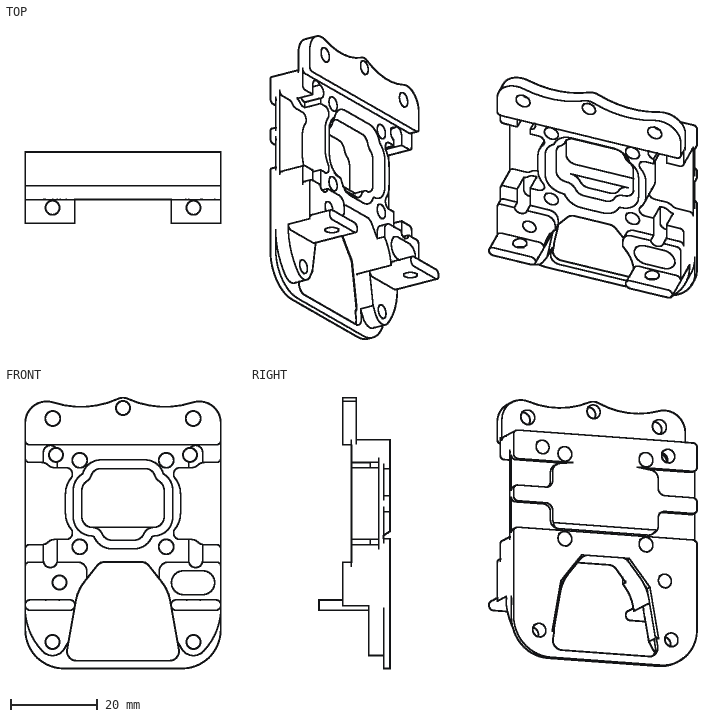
import cadquery as cq
import math


HALF_WIDTH = 45.26 / 2
TOP_Z = 24.5
BOTTOM_Z = TOP_Z - 62.67
EDGE_RADIUS = 1.0

PLATE_DEPTH = 1.5
SIDE_POCKET_FLOOR = 2.65
NUT_SLOT_FLOOR = 4.65
FOOT_DEPTH = 5.0
FLANGE_BACK = 7.8
BODY_DEPTH = 9.0
PAD_DEPTH = 11.0
EAR_DEPTH = 16.5

PLATE_CORNER_RADIUS = 9.0
BODY_TOP_Z = 14.8

FLANGE_BOTTOM_Z = 13.6
FLANGE_CORNER_RADIUS = 5.0
FLANGE_CORNER_Z = 18.65
FLANGE_CORNER_END_ANGLE = math.radians(18)
FLANGE_CREST_HALF_WIDTH = 1.14
FLANGE_CREST_DROP = 0.25

PAD_TOP_Z = -13.52
PAD_INNER_X = 8.35
PAD_CORNER_RADIUS = 2.2
PAD_BOTTOM_Z = -23.57
EAR_INNER_X = 11.1
EAR_TOP_Z = -22.27
EAR_HEIGHT = 2.4
EAR_HOLE_X = 16.3
EAR_HOLE_DEPTH = 12.9

FOOT_HOLE_X = 16.3
FOOT_HOLE_Z = -32.0
FOOT_TIP_RADIUS = 3.15
FOOT_SIDE_RADIUS = 14.4
FOOT_INNER_LEAN = math.radians(30)

OPENING_CORNERS = [
    (5.3, -13.53, 2.2),
    (10.44, -20.0, 10.0),
    (13.35, -36.3, 2.15),
]
OPENING_BEVEL = 0.55

SIDE_POCKET_EDGE_Z = 9.5
SIDE_POCKET_STEP_Z = 8.3
SIDE_POCKET_STEP_OUTER_X = 18.0
SIDE_POCKET_STEP_INNER_X = 16.6
SIDE_POCKET_STEP_RADIUS = 2.0
SIDE_POCKET_CORNER_X = 10.15
SIDE_POCKET_CORNER_RADIUS = 1.5
SIDE_POCKET_WAIST_X = 13.3
SIDE_POCKET_WAIST_Z = 4.2
SIDE_POCKET_WAIST_RADIUS = 5.5

NUT_SLOT_X = 16.8
NUT_SLOT_WIDTH = 3.2
NUT_SLOT_UPPER_Z = 11.85
NUT_SLOT_LOWER_Z = -13.2

WINDOW_RIM = 2.0
WINDOW_CORNER_RADIUS = 2.4
WINDOW_BLEND_RADIUS = 2.5
WINDOW_FLOOR = 0.5
WINDOW_LEDGE_FLOOR = 4.0
WINDOW_WIDE_X = 9.5
WINDOW_WIDE_Z = 5.5
WINDOW_UPPER_X = 7.5
WINDOW_UPPER_Z = 8.1
WINDOW_LOWER_X = 5.0

RECESS_HALF_HEIGHT = 8.1
RECESS_TAB_HALF_HEIGHT = 1.85
ISLAND_X = 13.0
ISLAND_BOTTOM_Z = -7.4
ISLAND_FOOT_RADIUS = 1.75
ISLAND_CORNER_RADIUS = 1.9
ISLAND_SHOULDER_RUN = 5.0
ISLAND_SHOULDER_Z = 7.4
ISLAND_CHAMFER = 1.0

SMALL_HOLE = 3.2
LARGE_HOLE = 3.4
WINDOW_SCREW = 10.0
FLANGE_HOLE_X = 16.24
FLANGE_HOLE_Z = 19.67
CREST_HOLE_Z = 22.1
BODY_HOLE_X = 15.5
BODY_HOLE_Z = 11.25
PAD_HOLE_X = 14.68
PAD_HOLE_Z = -18.25

BLIND_SLOT_X = 16.2
BLIND_SLOT_Z = -18.3
BLIND_SLOT_LENGTH = 10.0
BLIND_SLOT_HEIGHT = 5.5
BLIND_SLOT_FLOOR = PLATE_DEPTH

MIN_LENGTH = 1e-6
OUTSIDE = 2.0


def at_depth(depth):
    return cq.Workplane("XZ", origin=(0, -depth, 0))


def arc_loop(plane, arcs):
    """Closed outline of (start, middle, end) arcs joined by lines; empty pieces are left out."""
    last = arcs[0][2]
    wire = plane.moveTo(last.x, last.y)
    for start, middle, end in arcs[1:] + arcs[:1]:
        if (start - last).Length > MIN_LENGTH:
            wire = wire.lineTo(start.x, start.y)
        if (end - start).Length > MIN_LENGTH:
            wire = wire.threePointArc((middle.x, middle.y), (end.x, end.y))
        last = end
    return wire.close()


def rounded_wire(plane, corners):
    """Closed outline through (x, z, radius) corners; radius 0 is sharp."""
    arcs = []
    count = len(corners)
    for i in range(count):
        x, z, radius = corners[i]
        corner = cq.Vector(x, z, 0)
        before = cq.Vector(*corners[i - 1][:2], 0) - corner
        after = cq.Vector(*corners[(i + 1) % count][:2], 0) - corner
        half_angle = before.getAngle(after) / 2
        reach = radius / math.tan(half_angle)
        bisector = (before.normalized() + after.normalized()).normalized()
        middle = corner + bisector * (radius / math.sin(half_angle) - radius)
        start = corner + before.normalized() * reach
        end = corner + after.normalized() * reach
        arcs.append((start, middle, end))
    return arc_loop(plane, arcs)


def prism(corners, near, far):
    return rounded_wire(at_depth(near), corners).extrude(far - near)


def box_corners(x_min, x_max, z_min, z_max, lower_radius=0, upper_radius=0):
    return [
        (x_min, z_min, lower_radius),
        (x_max, z_min, lower_radius),
        (x_max, z_max, upper_radius),
        (x_min, z_max, upper_radius),
    ]


def both_sides(shape):
    return shape.union(shape.mirror("YZ"))


def base_plate():
    corners = box_corners(-HALF_WIDTH, HALF_WIDTH, BOTTOM_Z, 0, PLATE_CORNER_RADIUS)
    return prism(corners, 0, PLATE_DEPTH)


def body():
    """The top corners are rounded behind the flange and square where they meet it."""
    rounded = box_corners(-HALF_WIDTH, HALF_WIDTH, PAD_BOTTOM_Z, BODY_TOP_Z, 0, EDGE_RADIUS)
    square = box_corners(-HALF_WIDTH, HALF_WIDTH, PAD_BOTTOM_Z, BODY_TOP_Z)
    return prism(rounded, 0, FLANGE_BACK).union(prism(square, FLANGE_BACK, BODY_DEPTH))


def flange():
    """Round corners, dips and the crest follow each other tangentially."""
    corner_x = HALF_WIDTH - FLANGE_CORNER_RADIUS

    def corner_point(angle):
        x = corner_x + FLANGE_CORNER_RADIUS * math.sin(angle)
        return x, FLANGE_CORNER_Z + FLANGE_CORNER_RADIUS * math.cos(angle)

    half = (
        at_depth(FLANGE_BACK)
        .moveTo(0, FLANGE_BOTTOM_Z)
        .lineTo(HALF_WIDTH, FLANGE_BOTTOM_Z)
        .lineTo(HALF_WIDTH, FLANGE_CORNER_Z)
        .threePointArc(corner_point(math.pi / 4), corner_point(-FLANGE_CORNER_END_ANGLE))
        .tangentArcPoint((FLANGE_CREST_HALF_WIDTH, TOP_Z - FLANGE_CREST_DROP), relative=False)
        .tangentArcPoint((0, TOP_Z), relative=False)
        .close()
        .extrude(PAD_DEPTH - FLANGE_BACK)
    )
    return both_sides(half).edges("|Y and <Z").edges("<X or >X").fillet(EDGE_RADIUS)


def pads():
    corners = [
        (HALF_WIDTH, PAD_BOTTOM_Z, 0),
        (HALF_WIDTH, PAD_TOP_Z, EDGE_RADIUS),
        (PAD_INNER_X, PAD_TOP_Z, PAD_CORNER_RADIUS),
        (PAD_INNER_X, PAD_BOTTOM_Z, 0),
    ]
    return both_sides(prism(corners, BODY_DEPTH, PAD_DEPTH))


def ears():
    corners = box_corners(
        EAR_INNER_X, HALF_WIDTH, EAR_TOP_Z - EAR_HEIGHT, EAR_TOP_Z, EAR_HEIGHT / 2, EAR_HEIGHT / 2
    )
    hole = (
        cq.Workplane("XY", origin=(EAR_HOLE_X, -EAR_HOLE_DEPTH, EAR_TOP_Z))
        .circle(SMALL_HOLE / 2)
        .extrude(-EAR_HEIGHT)
    )
    return both_sides(prism(corners, FOOT_DEPTH, EAR_DEPTH).cut(hole))


def feet():
    """Tongues whose outer side is an arc tangent to the wall and to the round tip."""
    side_x = HALF_WIDTH - FOOT_SIDE_RADIUS
    reach_x = FOOT_HOLE_X - side_x
    rise = math.sqrt((FOOT_SIDE_RADIUS - FOOT_TIP_RADIUS) ** 2 - reach_x ** 2)
    side_z = FOOT_HOLE_Z + rise
    tangent_angle = math.atan2(-rise, reach_x)

    def side_point(angle):
        x = side_x + FOOT_SIDE_RADIUS * math.cos(angle)
        return x, side_z + FOOT_SIDE_RADIUS * math.sin(angle)

    tip_end_x = FOOT_HOLE_X - FOOT_TIP_RADIUS * math.cos(FOOT_INNER_LEAN)
    tip_end_z = FOOT_HOLE_Z - FOOT_TIP_RADIUS * math.sin(FOOT_INNER_LEAN)
    inner_z = tip_end_z + (tip_end_x - EAR_INNER_X) / math.tan(FOOT_INNER_LEAN)
    tongue = (
        at_depth(0)
        .moveTo(EAR_INNER_X, PAD_BOTTOM_Z)
        .lineTo(HALF_WIDTH, PAD_BOTTOM_Z)
        .lineTo(HALF_WIDTH, side_z)
        .threePointArc(side_point(tangent_angle / 2), side_point(tangent_angle))
        .threePointArc((FOOT_HOLE_X, FOOT_HOLE_Z - FOOT_TIP_RADIUS), (tip_end_x, tip_end_z))
        .lineTo(EAR_INNER_X, inner_z)
        .close()
        .extrude(FOOT_DEPTH)
    )
    return both_sides(tongue)


def lower_opening():
    left = [(-x, z, radius) for x, z, radius in reversed(OPENING_CORNERS)]
    return prism(OPENING_CORNERS + left, -OUTSIDE, EAR_DEPTH)


def opening_bevel():
    """45 degree bevel along the sloped rear edges of the opening, down to the foot tips."""
    (top_x, top_z, _), (bend_x, bend_z, _), (low_x, low_z, _) = OPENING_CORNERS
    end_x = bend_x + (low_x - bend_x) * (FOOT_HOLE_Z - bend_z) / (low_z - bend_z)
    right = [(top_x, top_z), (bend_x, bend_z), (end_x, FOOT_HOLE_Z)]
    wider = [(x + OPENING_BEVEL, z) for x, z in right]
    left = [(-x, z) for x, z in reversed(wider)]
    return at_depth(0).polyline(wider + left).close().extrude(OPENING_BEVEL, taper=45)


def side_pockets():
    upper = [
        (HALF_WIDTH + OUTSIDE, SIDE_POCKET_EDGE_Z + EDGE_RADIUS, 0),
        (HALF_WIDTH, SIDE_POCKET_EDGE_Z + EDGE_RADIUS, 0),
        (HALF_WIDTH, SIDE_POCKET_EDGE_Z, EDGE_RADIUS),
        (SIDE_POCKET_STEP_OUTER_X, SIDE_POCKET_EDGE_Z, SIDE_POCKET_STEP_RADIUS),
        (SIDE_POCKET_STEP_INNER_X, SIDE_POCKET_STEP_Z, SIDE_POCKET_STEP_RADIUS),
        (SIDE_POCKET_CORNER_X, SIDE_POCKET_STEP_Z, SIDE_POCKET_CORNER_RADIUS),
        (SIDE_POCKET_WAIST_X, SIDE_POCKET_WAIST_Z, SIDE_POCKET_WAIST_RADIUS),
    ]
    lower = [(x, -z, radius) for x, z, radius in reversed(upper)]
    return both_sides(prism(upper + lower, SIDE_POCKET_FLOOR, BODY_DEPTH))


def nut_slots():
    length = NUT_SLOT_UPPER_Z - NUT_SLOT_LOWER_Z + NUT_SLOT_WIDTH
    middle_z = (NUT_SLOT_UPPER_Z + NUT_SLOT_LOWER_Z) / 2
    slot = (
        at_depth(NUT_SLOT_FLOOR)
        .center(NUT_SLOT_X, middle_z)
        .slot2D(length, NUT_SLOT_WIDTH, 90)
        .extrude(PAD_DEPTH - NUT_SLOT_FLOOR)
    )
    return both_sides(slot)


def window_outline(depth):
    """Rounded lobes joined by blends that bulge inward.

    Every lobe corner and every blend is an arc, and neighbours are tangent.
    The height of the lower lobe follows from tangency with its blend.
    """
    corner = WINDOW_CORNER_RADIUS
    blend = WINDOW_BLEND_RADIUS
    touching = corner + blend
    upper = cq.Vector(WINDOW_UPPER_X - corner, WINDOW_UPPER_Z - corner)
    wide = cq.Vector(WINDOW_WIDE_X - corner, WINDOW_WIDE_Z - corner)
    across = wide - upper
    outward = cq.Vector(-across.y, across.x).normalized()
    upper_blend = (upper + wide) * 0.5 + outward * math.sqrt(touching ** 2 - (across.Length / 2) ** 2)
    lower_blend = cq.Vector(wide.x, -WINDOW_WIDE_Z - blend)
    lower_x = WINDOW_LOWER_X - corner
    rise = math.sqrt(touching ** 2 - (lower_blend.x - lower_x) ** 2)
    lower = cq.Vector(lower_x, lower_blend.y + rise)

    up = cq.Vector(0, 1)
    right = cq.Vector(1, 0)
    to_upper = (upper - upper_blend).normalized()
    to_wide = (wide - upper_blend).normalized()
    to_lower = (lower - lower_blend).normalized()
    arcs = [
        (upper, corner, up, -to_upper),
        (upper_blend, blend, to_upper, to_wide),
        (wide, corner, -to_wide, right),
        (cq.Vector(wide.x, -wide.y), corner, right, -up),
        (lower_blend, blend, up, to_lower),
        (lower, corner, -to_lower, -up),
    ]
    points = []
    for center, radius, first, last in arcs:
        middle = (first + last).normalized()
        points.append([center + direction * radius for direction in (first, middle, last)])
    left = [[cq.Vector(-p.x, p.y) for p in reversed(arc)] for arc in reversed(points)]

    return arc_loop(at_depth(depth), points + left)


def window():
    rim_depth = BODY_DEPTH - WINDOW_RIM
    deep = window_outline(WINDOW_FLOOR).extrude(WINDOW_LEDGE_FLOOR - WINDOW_FLOOR)
    above_ledge = box_corners(-WINDOW_WIDE_X, WINDOW_WIDE_X, -WINDOW_WIDE_Z, WINDOW_UPPER_Z)
    deep = deep.intersect(prism(above_ledge, WINDOW_FLOOR, WINDOW_LEDGE_FLOOR))
    wall = window_outline(WINDOW_LEDGE_FLOOR).extrude(rim_depth - WINDOW_LEDGE_FLOOR)
    rim = window_outline(rim_depth).extrude(WINDOW_RIM, taper=-45)
    return wall.union(deep).union(rim)


def back_recess():
    """Shallow notches beside the island, joined by a channel below it."""
    edge = HALF_WIDTH
    out = HALF_WIDTH + OUTSIDE
    top = RECESS_HALF_HEIGHT
    tab = RECESS_TAB_HALF_HEIGHT
    upper = [
        (out, top + EDGE_RADIUS, 0),
        (edge, top + EDGE_RADIUS, 0),
        (edge, top, EDGE_RADIUS),
        (ISLAND_X - ISLAND_SHOULDER_RUN, top, 0),
        (ISLAND_X, ISLAND_SHOULDER_Z, ISLAND_CORNER_RADIUS),
        (ISLAND_X, tab, ISLAND_FOOT_RADIUS),
        (edge, tab, EDGE_RADIUS),
        (edge, tab - EDGE_RADIUS, 0),
        (out, tab - EDGE_RADIUS, 0),
    ]
    lower = [
        (out, -top - EDGE_RADIUS, 0),
        (edge, -top - EDGE_RADIUS, 0),
        (edge, -top, EDGE_RADIUS),
        (0, -top, 0),
        (0, ISLAND_BOTTOM_Z, 0),
        (ISLAND_X, ISLAND_BOTTOM_Z, ISLAND_CORNER_RADIUS),
        (ISLAND_X, -tab, ISLAND_FOOT_RADIUS),
        (edge, -tab, EDGE_RADIUS),
        (edge, EDGE_RADIUS - tab, 0),
        (out, EDGE_RADIUS - tab, 0),
    ]
    bevel = (
        cq.Workplane("YZ")
        .moveTo(0, ISLAND_BOTTOM_Z + ISLAND_CHAMFER)
        .lineTo(-PLATE_DEPTH, ISLAND_BOTTOM_Z)
        .lineTo(0, ISLAND_BOTTOM_Z)
        .close()
        .extrude(ISLAND_X)
    )
    half = prism(upper, 0, PLATE_DEPTH).union(prism(lower, 0, PLATE_DEPTH)).union(bevel)
    return both_sides(half)


def holes(points, diameter):
    return (
        at_depth(0)
        .pushPoints(points)
        .circle(diameter / 2)
        .extrude(PAD_DEPTH)
    )


def large_holes():
    points = []
    for side in (-1, 1):
        points.append((side * FLANGE_HOLE_X, FLANGE_HOLE_Z))
        points.append((side * WINDOW_SCREW, WINDOW_SCREW))
        points.append((side * WINDOW_SCREW, -WINDOW_SCREW))
    return holes(points, LARGE_HOLE)


def small_holes():
    points = [(0, CREST_HOLE_Z), (-PAD_HOLE_X, PAD_HOLE_Z)]
    for side in (-1, 1):
        points.append((side * BODY_HOLE_X, BODY_HOLE_Z))
        points.append((side * FOOT_HOLE_X, FOOT_HOLE_Z))
    return holes(points, SMALL_HOLE)


def blind_slot():
    return (
        at_depth(BLIND_SLOT_FLOOR)
        .center(BLIND_SLOT_X, BLIND_SLOT_Z)
        .slot2D(BLIND_SLOT_LENGTH, BLIND_SLOT_HEIGHT)
        .extrude(PAD_DEPTH - BLIND_SLOT_FLOOR)
    )


block = body().union(base_plate()).union(feet()).union(pads())
block = block.cut(lower_opening()).cut(opening_bevel()).cut(side_pockets()).cut(nut_slots())
block = block.union(flange()).union(ears())
block = block.cut(window()).cut(back_recess())
result = block.cut(large_holes()).cut(small_holes()).cut(blind_slot())